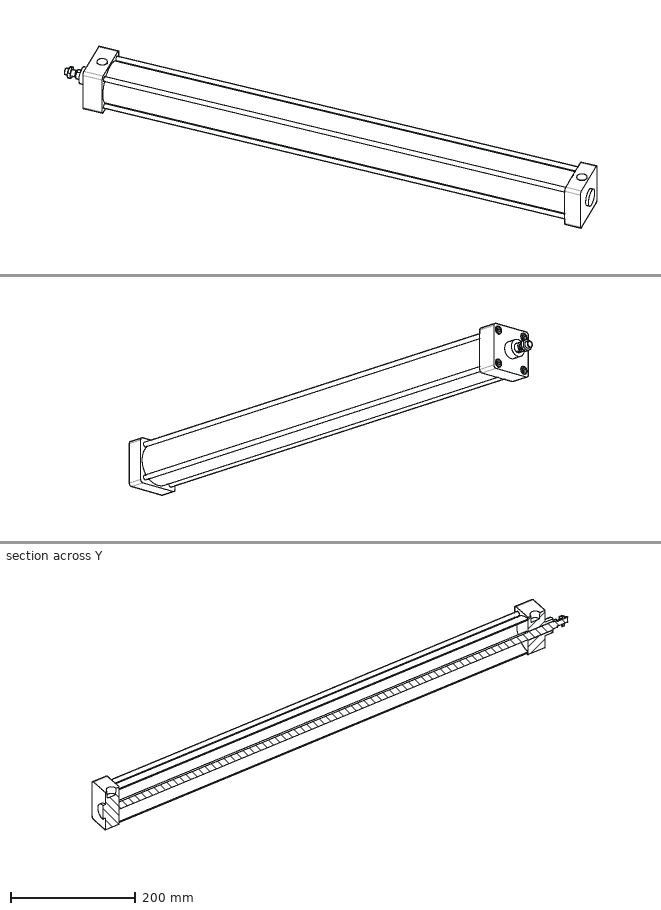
import cadquery as cq
import math

overall_length = 904.88
head_size = 76.2
head_corner_radius = 4.76
rod_head_length = 33.3
cap_length = 26.99

tube_outer_diameter = 69.85
tube_bore = 63.5

boss_diameter = 28.57
rod_boss_length = 15.88
cap_boss_length = 4.76

rod_extension = 44.45
rod_diameter = 15.88
rod_shoulder_gap = 8.0
thread_diameter = 11.11
thread_root_diameter = 9.74
thread_relief_length = 2.4
thread_tip_chamfer = (thread_diameter - thread_root_diameter) / 2
wrench_flat_width = 14.29
wrench_flat_length = 6.0

nut_across_flats = 17.46
nut_thickness = 4.8
nut_face_diameter = 16.5
nut_chamfer_length = 0.5
nut_tip_offset = 6.3

tie_rod_diameter = 7.94
tie_rod_offset = 27.9
tie_rod_cap_engagement = 19.05
screw_head_diameter = 11.76
screw_head_height = 7.94
socket_across_flats = 6.35
socket_depth = 4.0
counterbore_diameter = 13.46
counterbore_depth = screw_head_height

port_mouth_diameter = 16.7
port_root_diameter = 15.28
port_depth = 12.7
rod_port_position = 18.9
cap_port_from_rear = 11.9

body_length = overall_length - rod_extension - cap_boss_length
tube_start = rod_head_length
tube_end = body_length - cap_length
tie_rod_end = tube_end + tie_rod_cap_engagement
rod_tip = -rod_extension
rod_shoulder = -rod_boss_length - rod_shoulder_gap
tie_rod_sides = (-tie_rod_offset, tie_rod_offset)
tie_rod_places = [(y, z) for y in tie_rod_sides for z in tie_rod_sides]


def hexagon_corner_diameter(across_flats):
    return across_flats / math.cos(math.pi / 6)


def cylinder(x_start, x_end, diameter, y=0, z=0):
    """Round bar parallel to X."""
    return cq.Workplane("YZ", origin=(x_start, y, z)).circle(diameter / 2).extrude(x_end - x_start)


def head_block(x_start, x_end):
    """Square block with its four long corner edges rounded."""
    block = cq.Workplane("YZ", origin=(x_start, 0, 0)).rect(head_size, head_size).extrude(x_end - x_start)
    return block.edges("|X").fillet(head_corner_radius)


def tapered_port(x):
    """Port cutter narrowing downward from the top face."""
    top = head_size / 2
    return (
        cq.Workplane("XY", origin=(x, 0, top))
        .circle(port_mouth_diameter / 2)
        .workplane(offset=-port_depth)
        .circle(port_root_diameter / 2)
        .loft()
    )


def make_rod_head():
    """Front head with rod boss, rod bore, counterbored tie rod holes and air port."""
    head = head_block(0, rod_head_length)
    head = head.union(cylinder(-rod_boss_length, 0, boss_diameter))
    head = head.cut(cylinder(-rod_boss_length, rod_head_length, rod_diameter))
    for y, z in tie_rod_places:
        head = head.cut(cylinder(0, rod_head_length, tie_rod_diameter, y, z))
        head = head.cut(cylinder(0, counterbore_depth, counterbore_diameter, y, z))
    return head.cut(tapered_port(rod_port_position))


def make_cap():
    """Rear head with boss, blind tie rod holes and air port."""
    cap = head_block(tube_end, body_length)
    cap = cap.union(cylinder(body_length, body_length + cap_boss_length, boss_diameter))
    for y, z in tie_rod_places:
        cap = cap.cut(cylinder(tube_end, tie_rod_end, tie_rod_diameter, y, z))
    return cap.cut(tapered_port(body_length - cap_port_from_rear))


def make_tube():
    tube = cylinder(tube_start, tube_end, tube_outer_diameter)
    return tube.cut(cylinder(tube_start, tube_end, tube_bore))


def make_piston_rod():
    """Threaded tip, relief groove and full-diameter rod with wrench flats on -Z and +Z."""
    thread_end = rod_shoulder - thread_relief_length
    rod = cylinder(rod_tip, thread_end, thread_diameter).faces("<X").chamfer(thread_tip_chamfer)
    rod = rod.union(cylinder(thread_end, rod_shoulder, thread_root_diameter))
    rod = rod.union(cylinder(rod_shoulder, tube_end, rod_diameter))
    cutter = cq.Workplane("XY").box(wrench_flat_length, rod_diameter, rod_diameter)
    cutter_x = rod_shoulder + wrench_flat_length / 2
    cutter_z = (wrench_flat_width + rod_diameter) / 2
    for side in (-1, 1):
        rod = rod.cut(cutter.translate((cutter_x, 0, side * cutter_z)))
    return rod


def hexagon(x_start, x_end, across_flats, y=0, z=0):
    """Hexagonal bar parallel to X with two flats facing -Y and +Y."""
    sketch = cq.Workplane("YZ", origin=(x_start, y, z)).transformed(rotate=(0, 0, 90))
    return sketch.polygon(6, hexagon_corner_diameter(across_flats)).extrude(x_end - x_start)


def make_rod_nut():
    """Hexagon nut with its corners turned down at the outer face."""
    nut_start = rod_tip + nut_tip_offset
    nut_end = nut_start + nut_thickness
    across_corners = hexagon_corner_diameter(nut_across_flats)
    nut_chamfer_depth = (across_corners - nut_face_diameter) / 2
    turned_blank = cylinder(nut_start, nut_end, across_corners)
    turned_blank = turned_blank.faces("<X").chamfer(nut_chamfer_length, nut_chamfer_depth)
    nut = hexagon(nut_start, nut_end, nut_across_flats).intersect(turned_blank)
    return nut.cut(cylinder(nut_start, nut_end, thread_diameter))


def make_tie_rod(y, z):
    """Long screw with a round socket head flush with the rod head face."""
    tie_rod = cylinder(0, tie_rod_end, tie_rod_diameter, y, z)
    tie_rod = tie_rod.union(cylinder(0, screw_head_height, screw_head_diameter, y, z))
    return tie_rod.cut(hexagon(0, socket_depth, socket_across_flats, y, z))


rod_head = make_rod_head()
cap = make_cap()
tube = make_tube()
piston_rod = make_piston_rod()
rod_nut = make_rod_nut()
tie_rods = [make_tie_rod(y, z) for y, z in tie_rod_places]

result = cq.Compound.makeCompound(
    [rod_head.val(), cap.val(), tube.val(), piston_rod.val(), rod_nut.val()]
    + [tie_rod.val() for tie_rod in tie_rods]
)